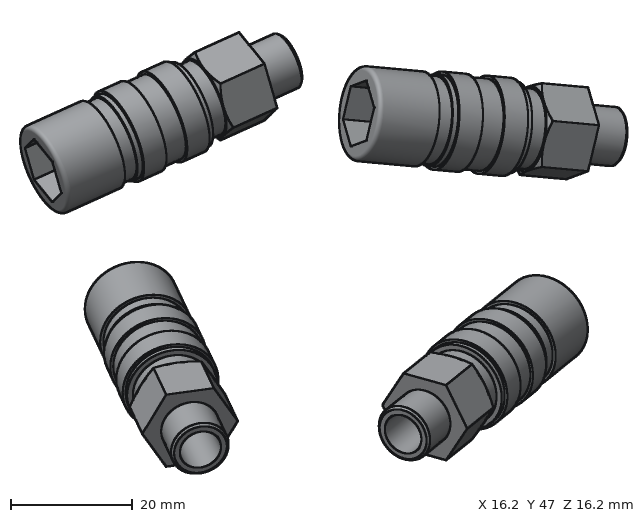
import cadquery as cq
import math

total_length = 47.0
front_y = -total_length / 2

body_length = 10.95
body_radius = 7.85
body_fillet = 0.75
groove_length = 2.55
groove_radius = 7.3
collar_length = 1.0
collar_radius = 7.6
ring_length = 4.3
ring_diameter = 16.2
ring_radius = ring_diameter / 2
ring_gap = 4.0
neck_length = 2.9
neck_radius = 6.65

nut_flats = 14.0
nut_length = 9.05
nut_chamfer_angle = 30.0
stub_radius = 4.9
stub_chamfer = 0.4

socket_flats = 10.0
socket_depth = 7.0
counterbore_radius = 4.55
counterbore_end = 28.2
bore_radius = 3.5


def across_corners(flats):
    """Corner-to-corner width of a regular hexagon."""
    return flats / math.cos(math.radians(30))


def section(start):
    """Sketch plane across the axis, at a distance from the front end."""
    return cq.Workplane("XZ", origin=(0, front_y + start, 0))


def cylinder(start, length, radius):
    return section(start).circle(radius).extrude(-length)


def hexagon(start, length, flats):
    """Hexagonal prism with two corners on the X axis."""
    return section(start).polygon(6, across_corners(flats)).extrude(-length)


def chamfered_nut(start):
    """Wrench hexagon whose front corners are trimmed by a cone tangent to the flats."""
    flat_radius = nut_flats / 2
    corner_radius = across_corners(nut_flats) / 2
    chamfer_length = (corner_radius - flat_radius) * math.tan(math.radians(nut_chamfer_angle))
    nut_front = front_y + start
    nut_back = nut_front + nut_length
    profile = [
        (0, nut_front),
        (flat_radius, nut_front),
        (corner_radius, nut_front + chamfer_length),
        (corner_radius, nut_back),
        (0, nut_back),
    ]
    envelope = cq.Workplane("XY").polyline(profile).close().revolve(360, (0, 0), (0, 1))
    return hexagon(start, nut_length, nut_flats).intersect(envelope)


result = cylinder(0, body_length, body_radius).faces("<Y").edges().fillet(body_fillet)
position = body_length
sleeve_sections = [
    (groove_length, groove_radius),
    (collar_length, collar_radius),
    (ring_length, ring_radius),
    (ring_gap, collar_radius),
    (ring_length, ring_radius),
    (collar_length, collar_radius),
    (neck_length, neck_radius),
]
for length, radius in sleeve_sections:
    result = result.union(cylinder(position, length, radius))
    position += length

result = result.union(chamfered_nut(position))
position += nut_length
stub = cylinder(position, total_length - position, stub_radius)
result = result.union(stub.faces(">Y").edges().chamfer(stub_chamfer))

result = result.cut(hexagon(0, socket_depth, socket_flats))
result = result.cut(cylinder(0, counterbore_end, counterbore_radius))
result = result.cut(cylinder(0, total_length, bore_radius))